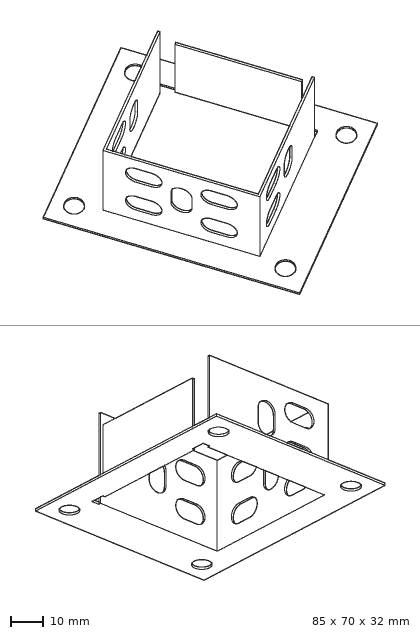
import cadquery as cq

plate_length = 85.0
plate_width = 70.0
sheet = 0.85
opening = 52.0
hole_diameter = 6.5
hole_spacing_x = 70.0
hole_spacing_y = 55.0

total_height = 32.0
side_wall_length = 49.3
tab_length = 42.0
tab_height = 25.0

slot_length = 12.1
slot_width = 7.0

front_slot_spacing = 25.0
front_slot_heights = (9.4, 24.0)
front_upright_height = 18.0

side_slot_setback = 12.0
side_slot_heights = (10.1, 23.7)
side_upright_setback = 25.6
side_upright_height = 18.1

opening_half = opening / 2
UPRIGHT = 90


def make_plate():
    """Flat rectangular plate with a square opening and four corner holes."""
    plate = cq.Workplane("XY").rect(plate_length, plate_width).rect(opening, opening).extrude(sheet)
    holes = (
        cq.Workplane("XY")
        .rect(hole_spacing_x, hole_spacing_y, forConstruction=True)
        .vertices()
        .circle(hole_diameter / 2)
        .extrude(sheet)
    )
    return plate.cut(holes)


def make_wall(size_x, size_y, height, center_x, center_y):
    """Upright sheet wall rising from the underside of the plate."""
    wall = cq.Workplane("XY").box(size_x, size_y, height, centered=(True, True, False))
    return wall.translate((center_x, center_y, 0))


def make_slots(workplane, flat_centers, upright_center, depth):
    """Cutter for a group of level slots plus one upright slot, centered on the workplane."""
    flat_slots = workplane.pushPoints(flat_centers).slot2D(slot_length, slot_width)
    flat_slots = flat_slots.extrude(depth / 2, both=True)
    upright_slot = workplane.pushPoints([upright_center]).slot2D(slot_length, slot_width, UPRIGHT)
    return flat_slots.union(upright_slot.extrude(depth / 2, both=True))


def make_front_wall():
    """Full-width front wall with five slots."""
    wall_y = -opening_half + sheet / 2
    wall = make_wall(opening, sheet, total_height, 0, wall_y)
    flat_centers = [
        (side * front_slot_spacing / 2, height)
        for side in (-1, 1)
        for height in front_slot_heights
    ]
    workplane = cq.Workplane("XZ", origin=(0, wall_y, 0))
    return wall.cut(make_slots(workplane, flat_centers, (0, front_upright_height), 2 * sheet))


def make_side_walls():
    """Matching left and right walls, stopping short of the back of the opening."""
    wall_x = opening_half - sheet / 2
    wall_y = -opening_half + side_wall_length / 2
    walls = make_wall(sheet, side_wall_length, total_height, -wall_x, wall_y)
    walls = walls.union(make_wall(sheet, side_wall_length, total_height, wall_x, wall_y))
    flat_centers = [(-opening_half + side_slot_setback, height) for height in side_slot_heights]
    upright_center = (-opening_half + side_upright_setback, side_upright_height)
    return walls.cut(make_slots(cq.Workplane("YZ"), flat_centers, upright_center, plate_length))


def make_back_tab():
    """Plain tab, narrower and lower than the other walls."""
    return make_wall(tab_length, sheet, tab_height, 0, opening_half - sheet / 2)


result = make_plate().union(make_front_wall()).union(make_side_walls()).union(make_back_tab())